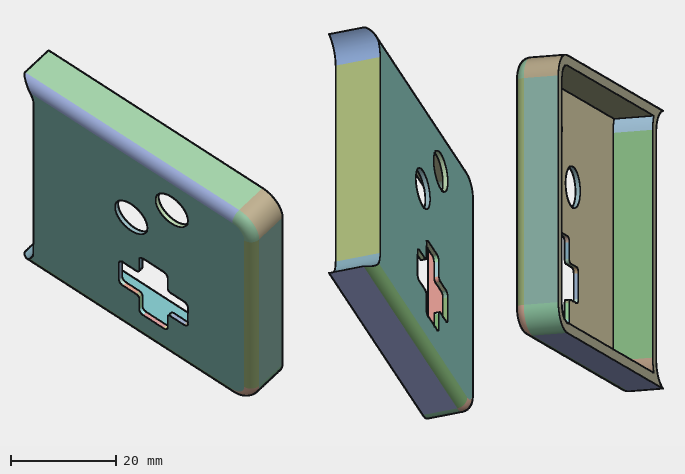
import cadquery as cq
import math

length = 57.85
depth = 9.0
height = 54.1
panel_thickness = 1.0
side_thickness = 2.0
corner_radius = 5.0
rim_fillet = 2.0

end_inset = 3.75
end_radius = 5.05

button_diameter = 8.0
upper_button = (8.95, 17.05)
button_spacing = 10.0
cross_center = (4.45, -11.55)
cross_span = 17.0
cross_arm = 7.0
cross_outer_fillet = 1.0
cross_inner_fillet = 0.75

left = -length / 2
right = length / 2
front = -depth / 2
end_x = left + end_inset
arc_center_x = end_x - end_radius
arc_center_z = height / 2 - math.sqrt(end_radius**2 - (left - arc_center_x) ** 2)


def plan(y):
    """Sketch plane with local axes X and Z; negative extrusions run toward +Y."""
    return cq.Workplane(cq.Plane((0, y, 0), xDir=(1, 0, 0), normal=(0, -1, 0)))


def rounded_block(side_offset, front_offset):
    """Block inset from the outer sides and front, rounded at its right corners."""
    start_x = left - corner_radius
    end = right - side_offset
    block = (
        plan(front + front_offset)
        .center((start_x + end) / 2, 0)
        .rect(end - start_x, height - 2 * side_offset)
        .extrude(-(depth - front_offset))
    )
    return block.edges("|Y and >X").fillet(corner_radius - side_offset)


def end_cutter(offset):
    """Space left of the concave end, moved inward by offset."""
    radius = end_radius + offset
    far_left = left - length
    edge_x = end_x + offset
    slab_width = edge_x - far_left
    slab = (
        plan(front)
        .center(edge_x - slab_width / 2, 0)
        .rect(slab_width, 2 * arc_center_z)
        .extrude(-depth)
    )
    arc_centers = [(arc_center_x, side * arc_center_z) for side in (-1, 1)]
    rounds = plan(front).pushPoints(arc_centers).circle(radius).extrude(-depth)
    beyond_width = arc_center_x - far_left
    beyond = (
        plan(front)
        .center(arc_center_x - beyond_width / 2, 0)
        .rect(beyond_width, 2 * height)
        .extrude(-depth)
    )
    return slab.union(rounds).union(beyond)


def cross_opening():
    """Plus-shaped opening with all of its corners rounded."""
    cutter_depth = 2 * panel_thickness
    bar = plan(front).center(*cross_center).rect(cross_span, cross_arm).extrude(-cutter_depth)
    upright = plan(front).center(*cross_center).rect(cross_arm, cross_span).extrude(-cutter_depth)
    x, z = cross_center
    half_arm = cross_arm / 2
    cross = bar.union(upright)
    reach = half_arm + cross_inner_fillet
    inner_corners = cq.selectors.BoxSelector(
        (x - reach, front - depth, z - reach),
        (x + reach, front + depth, z + reach),
    )
    cross = cross.edges("|Y").edges(inner_corners).fillet(cross_inner_fillet)
    ends = cross.edges("|Y and (<X or >X or <Z or >Z)")
    return ends.fillet(cross_outer_fillet)


def button_openings():
    """Two round openings on a diagonal."""
    x, z = upper_button
    centers = [upper_button, (x - button_spacing, z - button_spacing)]
    return plan(front).pushPoints(centers).circle(button_diameter / 2).extrude(-2 * panel_thickness)


block = rounded_block(0, 0)
rounded_rim = block.faces("<Y").edges("not <X").fillet(rim_fillet)
body = rounded_rim.cut(end_cutter(0))
cavity = rounded_block(side_thickness, panel_thickness).cut(end_cutter(side_thickness))
result = body.cut(cavity).cut(cross_opening()).cut(button_openings())